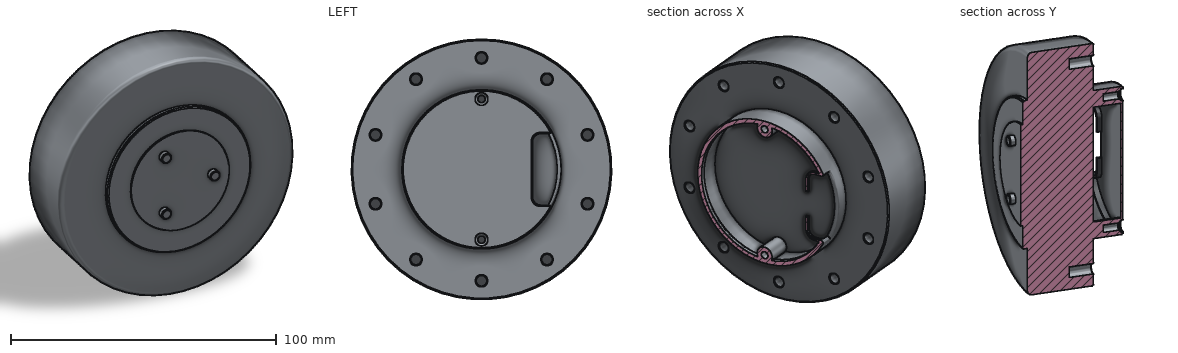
import cadquery as cq
import math


disc_radius = 49.0
disc_start = 12.0
disc_thickness = 27.0
disc_end = disc_start + disc_thickness
disc_fillet = 2.0
edge_chamfer = 0.5

hub_radius = 30.0
hub_end = disc_end + 2.0
plate_radius = 20.5
plate_end = hub_end + 0.7

cap_skin = 1.1
cap_wall = 1.5
cavity_radius = hub_radius - cap_wall
cavity_lip_end = 3.6
cavity_lip_radius = cavity_radius - 0.5

window_floor = 6.3
window_half_width = 13.4
window_inner_y = -19.2
window_corner_radius = 3.0
window_fillet = 1.0
selection_margin = 0.2

frame_depth = 3.0
frame_thickness = 1.0
frame_notch_half_width = 5.3

screw_offset = 26.5
screw_hole_diameter = 2.7
screw_head_diameter = 4.8
screw_head_recess = 0.6
screw_depth = 7.8
screw_boss_radius = 3.4

bolt_count = 10
bolt_circle_radius = 41.9
bolt_hole_diameter = 4.0
bolt_hole_chamfer = 0.3
bolt_hole_depth = 9.8

pin_count = 3
pin_circle_radius = 13.5
pin_diameter = 4.0
pin_end = 44.0
pin_chamfer = 0.3


def cylinder(radius, x_start, x_end, y=0.0, z=0.0):
    """Solid cylinder parallel to X."""
    return cq.Workplane(
        cq.Solid.makeCylinder(radius, x_end - x_start, cq.Vector(x_start, y, z), cq.Vector(1, 0, 0))
    )


def cone(start_radius, end_radius, x_start, x_end, y=0.0, z=0.0):
    """Solid cone parallel to X."""
    return cq.Workplane(
        cq.Solid.makeCone(
            start_radius, end_radius, x_end - x_start, cq.Vector(x_start, y, z), cq.Vector(1, 0, 0)
        )
    )


def make_disc():
    """Disc, hub and plate as one turned solid."""
    profile = (
        cq.Workplane("XZ")
        .moveTo(disc_start, 0)
        .lineTo(disc_start, disc_radius - edge_chamfer)
        .lineTo(disc_start + edge_chamfer, disc_radius)
        .lineTo(disc_end - disc_fillet, disc_radius)
        .radiusArc((disc_end, disc_radius - disc_fillet), disc_fillet)
        .lineTo(disc_end, hub_radius)
        .lineTo(hub_end - edge_chamfer, hub_radius)
        .lineTo(hub_end, hub_radius - edge_chamfer)
        .lineTo(hub_end, plate_radius)
        .lineTo(plate_end, plate_radius)
        .lineTo(plate_end, 0)
        .close()
    )
    return profile.revolve(360, (0, 0, 0), (1, 0, 0))


def make_cavity():
    """Hollow of the cap, slightly narrower next to the face."""
    lip = cylinder(cavity_lip_radius, cap_skin, cavity_lip_end)
    return lip.union(cylinder(cavity_radius, cavity_lip_end, disc_start))


def window_block(x_start, x_end, margin=0.0):
    """Window outline with rounded inner corners, grown by a margin and open toward -Y."""
    y_inner = window_inner_y + margin
    y_outer = -disc_radius
    return (
        cq.Workplane("YZ", origin=(x_start, 0, 0))
        .center((y_inner + y_outer) / 2, 0)
        .rect(y_inner - y_outer, 2 * (window_half_width + margin))
        .extrude(x_end - x_start)
        .edges("|X and >Y")
        .fillet(window_corner_radius + margin)
    )


def make_frame():
    """Rib that follows the window outline, with a notch in the middle of its long side."""
    frame = window_block(cap_skin, frame_depth, frame_thickness).cut(
        window_block(cap_skin, frame_depth)
    )
    notch_width = 2 * frame_notch_half_width
    notch = cq.Workplane("XY").box(frame_depth - cap_skin, 3 * frame_thickness, notch_width)
    notch = notch.translate(((cap_skin + frame_depth) / 2, window_inner_y, 0))
    return frame.cut(notch).intersect(cylinder(cavity_radius, 0, disc_start))


def make_mouth_bevel():
    """Block whose sloped sides bevel the window edge on the cap face."""
    return (
        window_block(-edge_chamfer, edge_chamfer, edge_chamfer)
        .faces(">X")
        .edges()
        .chamfer(edge_chamfer)
    )


def make_outer_bevel():
    """Ring that bevels the outer edge of the cap face."""
    bevel_cone = cone(hub_radius - edge_chamfer, hub_radius, 0, edge_chamfer)
    return cylinder(disc_radius, 0, edge_chamfer).cut(bevel_cone)


def make_cap():
    """Hollow cap with its window, window frame and screw bosses."""
    rim_corner_y = -math.sqrt(hub_radius**2 - window_half_width**2)
    rim_limit = rim_corner_y + selection_margin
    rim_edges = cq.selectors.BoxSelector(
        (selection_margin, -disc_radius, -disc_radius),
        (disc_start - selection_margin, rim_limit, disc_radius),
    )
    cap = cylinder(hub_radius, 0, disc_start).cut(window_block(0, window_floor))
    cap = cap.edges(rim_edges).fillet(window_fillet)
    cap = cap.cut(make_cavity()).cut(make_outer_bevel())
    cap = cap.union(make_frame()).cut(make_mouth_bevel())
    for z in (-screw_offset, screw_offset):
        boss = cylinder(screw_boss_radius, cap_skin, disc_start, z=z)
        cap = cap.union(boss.intersect(cylinder(cavity_radius + cap_wall / 2, 0, disc_start)))
    return cap


def make_screw_holes():
    """Blind countersunk holes through the cap's screw bosses."""
    hole_radius = screw_hole_diameter / 2
    head_radius = screw_head_diameter / 2
    countersink_end = screw_head_recess + head_radius - hole_radius
    holes = cq.Workplane()
    for z in (-screw_offset, screw_offset):
        holes = holes.add(cylinder(hole_radius, 0, screw_depth, z=z))
        holes = holes.add(cylinder(head_radius, 0, screw_head_recess, z=z))
        holes = holes.add(cone(head_radius, hole_radius, screw_head_recess, countersink_end, z=z))
    return holes.combine()


def make_bolt_holes():
    """Circle of blind holes with bevelled mouths in the back of the disc."""
    radius = bolt_hole_diameter / 2
    bevel_end = disc_start + bolt_hole_chamfer
    holes = cq.Workplane()
    for index in range(bolt_count):
        angle = 2 * math.pi * index / bolt_count
        y = bolt_circle_radius * math.sin(angle)
        z = bolt_circle_radius * math.cos(angle)
        holes = holes.add(cylinder(radius, disc_start, disc_start + bolt_hole_depth, y, z))
        holes = holes.add(cone(radius + bolt_hole_chamfer, radius, disc_start, bevel_end, y, z))
    return holes.combine()


def add_pins(body):
    """Body with bevelled drive pins, the first one on the +Y axis."""
    for index in range(pin_count):
        angle = 2 * math.pi * index / pin_count
        y = pin_circle_radius * math.cos(angle)
        z = pin_circle_radius * math.sin(angle)
        pin = cylinder(pin_diameter / 2, hub_end, pin_end, y, z)
        body = body.union(pin.faces(">X").edges().chamfer(pin_chamfer))
    return body


result = make_disc().union(make_cap())
result = result.cut(make_screw_holes()).cut(make_bolt_holes())
result = add_pins(result)